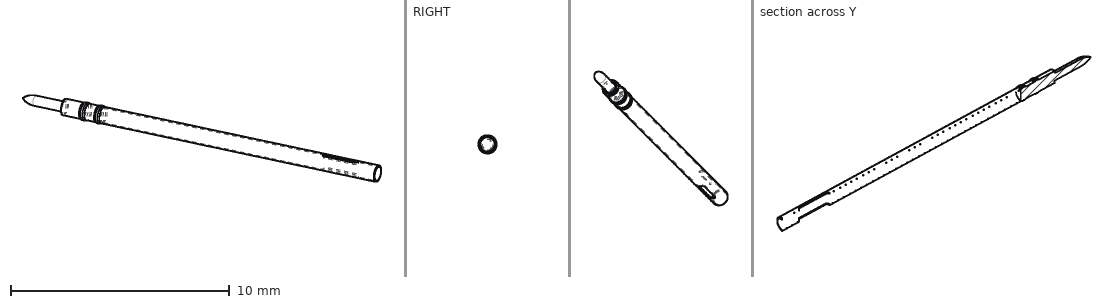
import cadquery as cq
import math

total_length = 18.08

plunger_diameter = 0.49
plunger_length = 2.13
nose_length = 0.62
collar_diameter = 0.6
collar_length = 0.05

barrel_diameter = 0.78
bore_diameter = 0.65
front_wall = 2.0
tail_chamfer = 0.025

ridge_diameter = 0.85
ridge_width = 0.28
ridge_flat = 0.11
ridge_count = 2
ridge_pitch = 0.765
first_ridge_to_barrel_front = 0.92

slot_length = 1.78
slot_width = 0.27
slot_end_to_tail = 1.01

tip_x = -total_length / 2
tail_x = total_length / 2
shoulder_x = tip_x + nose_length
barrel_x = tip_x + plunger_length


def cylinder(start_x, end_x, diameter):
    """Cylinder around the X axis."""
    return cq.Workplane("YZ", origin=(start_x, 0, 0)).circle(diameter / 2).extrude(end_x - start_x)


def revolve_around_x(profile):
    """Full turn of a closed XY profile around the X axis."""
    return profile.revolve(360, (0, 0, 0), (1, 0, 0))


def make_plunger():
    """Nose and shaft in one turned profile; the nose arc runs tangent into the shaft."""
    shaft_radius = plunger_diameter / 2
    flank_radius = (shaft_radius ** 2 + nose_length ** 2) / (2 * shaft_radius)
    half_length = nose_length / 2
    half_radius = shaft_radius - flank_radius + math.sqrt(flank_radius ** 2 - half_length ** 2)
    profile = (
        cq.Workplane("XY")
        .moveTo(tip_x, 0)
        .threePointArc((shoulder_x - half_length, half_radius), (shoulder_x, shaft_radius))
        .lineTo(barrel_x - collar_length, shaft_radius)
        .lineTo(barrel_x, collar_diameter / 2)
        .lineTo(barrel_x, 0)
        .close()
    )
    return revolve_around_x(profile)


def make_ridge(start_x):
    """Ring of trapezoidal section, rooted in the barrel down to the bore radius."""
    base_radius = barrel_diameter / 2
    root_radius = bore_diameter / 2
    crest_radius = ridge_diameter / 2
    flank_length = (ridge_width - ridge_flat) / 2
    profile = (
        cq.Workplane("XY")
        .moveTo(start_x, root_radius)
        .lineTo(start_x, base_radius)
        .lineTo(start_x + flank_length, crest_radius)
        .lineTo(start_x + flank_length + ridge_flat, crest_radius)
        .lineTo(start_x + ridge_width, base_radius)
        .lineTo(start_x + ridge_width, root_radius)
        .close()
    )
    return revolve_around_x(profile)


def make_slot():
    """Round-ended slot through the whole barrel along Z."""
    centre_x = tail_x - slot_end_to_tail - slot_length / 2
    return (
        cq.Workplane("XY")
        .center(centre_x, 0)
        .slot2D(slot_length, slot_width)
        .extrude(barrel_diameter, both=True)
    )


def make_barrel():
    """Chamfered tube with its ridges, tail bore and slot."""
    barrel = cylinder(barrel_x, tail_x, barrel_diameter)
    barrel = barrel.faces(">X").chamfer(tail_chamfer)
    for index in range(ridge_count):
        ridge_x = barrel_x + first_ridge_to_barrel_front + index * ridge_pitch
        barrel = barrel.union(make_ridge(ridge_x))
    barrel = barrel.cut(cylinder(barrel_x + front_wall, tail_x, bore_diameter))
    return barrel.cut(make_slot())


result = make_barrel().union(make_plunger())